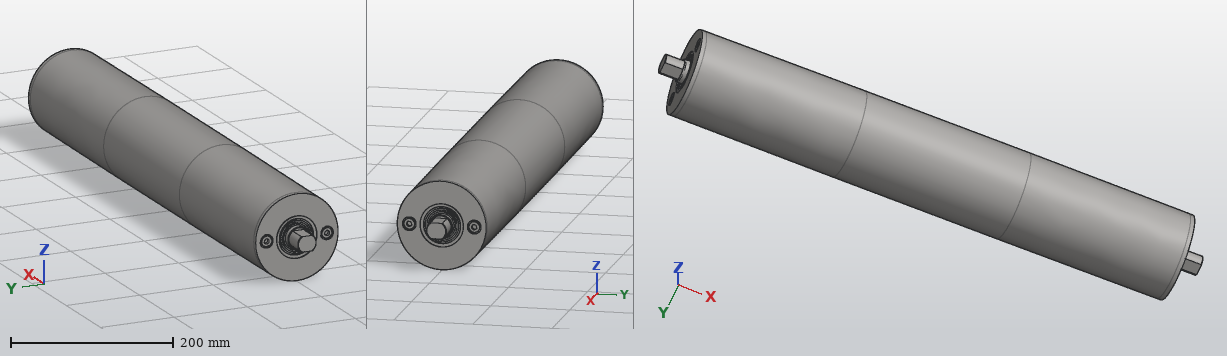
import cadquery as cq

total_length = 720.0
center_diameter = 114.0

drum_length = 660.0
drum_end_diameter = 112.0
crown_length = drum_length / 3
rim_length = 6.0

shaft_diameter = 25.0
shaft_across_flats = 20.0
shaft_end_chamfer = 1.0
collar_diameter = 30.0
collar_height = 6.0
collar_bore_diameter = 27.0
collar_bore_depth = 2.0

seal_diameter = 55.0
seal_depth = 1.5
groove_diameters = [(47.0, 42.5), (38.0, 34.0)]
groove_depth = 2.0

screw_offset = 41.0
screw_recess_diameter = 17.0
screw_head_diameter = 14.0
screw_socket_diameter = 6.5
screw_depth = 2.0
socket_depth = 4.0

half_length = total_length / 2
half_drum = drum_length / 2


def x_cylinder(diameter, start, length, y=0):
    """Cylinder along +X starting at the given X, centred on the given Y."""
    return cq.Workplane("YZ", origin=(start, y, 0)).circle(diameter / 2).extrude(length)


def x_ring(outer_diameter, inner_diameter, start, length, y=0):
    """Ring along +X starting at the given X, centred on the given Y."""
    outer = x_cylinder(outer_diameter, start, length, y)
    return outer.cut(x_cylinder(inner_diameter, start, length, y))


def both_ends(left_body):
    """The body at the left end together with its mirror image at the right end."""
    return left_body.union(left_body.mirror("YZ"))


def make_drum():
    """Solid of revolution about X with a slight crown."""
    half_crown = crown_length / 2
    rim_start = half_drum - rim_length
    profile = [
        (-half_drum, 0),
        (-half_drum, drum_end_diameter / 2),
        (-rim_start, drum_end_diameter / 2),
        (-half_crown, center_diameter / 2),
        (half_crown, center_diameter / 2),
        (rim_start, drum_end_diameter / 2),
        (half_drum, drum_end_diameter / 2),
        (half_drum, 0),
    ]
    return cq.Workplane("XY").polyline(profile).close().revolve(360, (0, 0, 0), (1, 0, 0))


def make_shaft():
    """Round bar through the whole part, flattened at top and bottom, with bevelled ends."""
    round_bar = x_cylinder(shaft_diameter, -half_length, total_length)
    round_bar = round_bar.edges("%CIRCLE").chamfer(shaft_end_chamfer)
    flats = cq.Workplane("XY").box(total_length, shaft_diameter, shaft_across_flats)
    return round_bar.intersect(flats)


def make_collar():
    """Left collar, with a shallow counterbore around the shaft."""
    collar_start = -half_drum - collar_height
    collar = x_cylinder(collar_diameter, collar_start, collar_height)
    return collar.cut(x_cylinder(collar_bore_diameter, collar_start, collar_bore_depth))


def make_seal_recess():
    """Round step with concentric grooves in its floor, leaving the collar standing."""
    recess = x_ring(seal_diameter, collar_diameter, -half_drum, seal_depth)
    for outer_diameter, inner_diameter in groove_diameters:
        groove = x_ring(outer_diameter, inner_diameter, -half_drum, seal_depth + groove_depth)
        recess = recess.union(groove)
    return recess


def make_screw_recess(y):
    """Ring-shaped groove around a screw head, and the round socket in the head."""
    groove = x_ring(screw_recess_diameter, screw_head_diameter, -half_drum, screw_depth, y)
    socket = x_cylinder(screw_socket_diameter, -half_drum, socket_depth, y)
    return groove.union(socket)


result = make_drum()
result = result.cut(both_ends(make_seal_recess()))
for screw_y in (-screw_offset, screw_offset):
    result = result.cut(both_ends(make_screw_recess(screw_y)))
result = result.union(both_ends(make_collar()))
result = result.union(make_shaft())